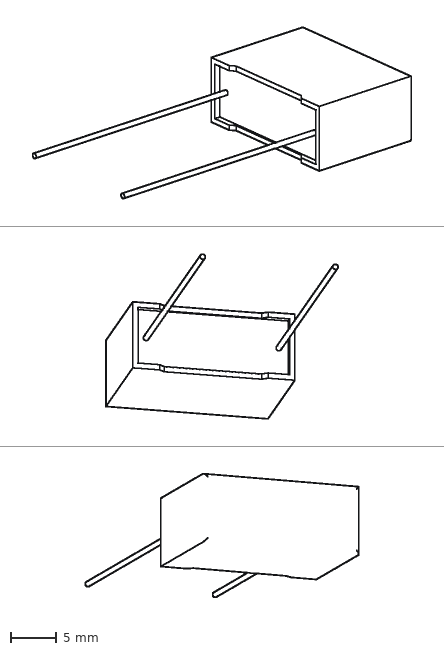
import cadquery as cq

overall_length = 40.6
case_width = 18.3
case_height = 7.7
case_depth = 13.6
wall = 0.6
back_fillet = 0.5
notch_depth = 0.5
notch_inset = 3.05
notch_ramp = 0.6
potting_recess = 0.75
lead_diameter = 0.6
lead_pitch = 15.0

cavity_width = case_width - 2 * wall
cavity_height = case_height - 2 * wall
cavity_depth = case_depth - wall
potting_depth = cavity_depth - potting_recess
lead_tip_y = case_depth - overall_length
lead_length = potting_recess - lead_tip_y
notch_half_mouth = case_width / 2 - notch_inset
notch_half_floor = notch_half_mouth - notch_ramp


def block_behind(y_front, width, depth, height):
    """Block centred on X and Z that extends from y_front towards +Y."""
    return cq.Workplane("XY").box(width, depth, height, centered=(True, False, True)).translate((0, y_front, 0))


def make_rim_notch():
    """Trapezoid that cuts the rim of both broad walls."""
    return (
        cq.Workplane("XY")
        .polyline([
            (-notch_half_mouth, 0),
            (-notch_half_floor, notch_depth),
            (notch_half_floor, notch_depth),
            (notch_half_mouth, 0),
        ])
        .close()
        .extrude(case_height / 2, both=True)
    )


def make_case():
    """Open box with a rounded back and notched rim."""
    shell = block_behind(0, case_width, case_depth, case_height)
    shell = shell.faces(">Y").edges().fillet(back_fillet)
    cavity = block_behind(0, cavity_width, cavity_depth, cavity_height)
    return shell.cut(cavity).cut(make_rim_notch())


def make_potting():
    """Resin block that fills the case up to its recessed surface."""
    return block_behind(potting_recess, cavity_width, potting_depth, cavity_height)


def make_lead(x):
    """Straight round wire that starts on the potting surface."""
    surface = cq.Workplane("XZ", origin=(x, potting_recess, 0))
    return surface.circle(lead_diameter / 2).extrude(lead_length)


case = make_case()
potting = make_potting()
leads = [make_lead(side * lead_pitch / 2) for side in (-1, 1)]

result = cq.Compound.makeCompound([case.val(), potting.val(), *[lead.val() for lead in leads]])